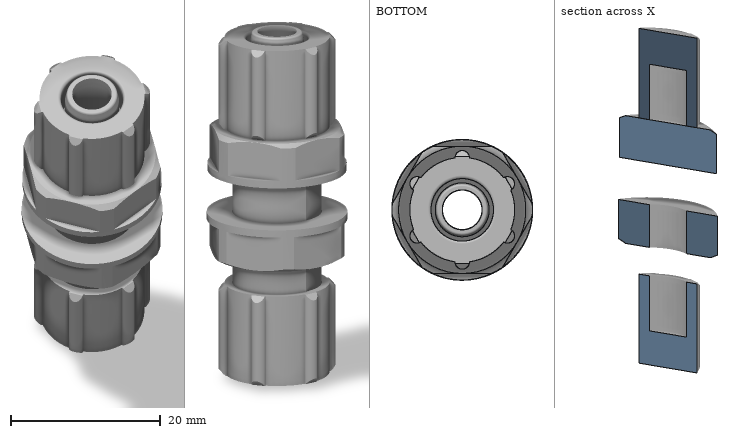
import cadquery as cq
import math

total_length = 48.0
end_protrusion = 0.7
cap_length = 12.45
hex_length = 6.0
flange_thickness = 1.0
grip_length = 5.8

upper_cap_top = total_length - end_protrusion
body_hex_top = upper_cap_top - cap_length
body_hex_bottom = body_hex_top - hex_length
lock_nut_top = body_hex_bottom - grip_length

across_flats = 17.0
body_hex_diameter = 18.6
lock_nut_diameter = 18.8
hex_chamfer_angle = 30.0

thread_diameter = 12.0
thread_flat_width = 10.5
bore_diameter = 5.3
barb_tip_diameter = 6.8
barb_diameter = 7.2
barb_tip_rounding = 0.3
barb_length = 1.3

cap_diameter = 14.0
cap_mouth_diameter = 8.35
cap_mouth_rounding = 0.4
cap_mouth_depth = 4.8
rib_count = 6
rib_radius = 0.95
rib_center_radius = 6.95
rib_chamfer = 0.75

thread_end_depth = end_protrusion + cap_mouth_depth


def flanged_hexagon(diameter):
    """Hexagon standing on a round flange at Z = 0, chamfered at its far end."""
    radius = diameter / 2
    face_radius = across_flats / 2
    chamfer_height = (radius - face_radius) * math.tan(math.radians(hex_chamfer_angle))
    turned_blank = (
        cq.Workplane("XZ")
        .polyline([
            (0, 0),
            (radius, 0),
            (radius, hex_length - chamfer_height),
            (face_radius, hex_length),
            (0, hex_length),
        ])
        .close()
        .revolve(360, (0, 0), (0, 1))
    )
    hexagon = (
        cq.Workplane("XY")
        .polygon(6, across_flats, circumscribed=True)
        .extrude(hex_length)
        .rotate((0, 0, 0), (0, 0, 1), 90)
    )
    flange = cq.Workplane("XY").circle(diameter).extrude(flange_thickness)
    return turned_blank.intersect(hexagon.union(flange))


def flatted_thread():
    """Threaded barrel with two opposite flats, reaching into both cap nuts."""
    length = total_length - 2 * thread_end_depth
    barrel = cq.Workplane("XY").circle(thread_diameter / 2).extrude(length)
    flats = cq.Workplane("XY").rect(thread_flat_width, 2 * thread_diameter).extrude(length)
    return barrel.intersect(flats).translate((0, 0, thread_end_depth))


def hose_barb():
    """Barb with its rounded tip at the top end, rooted in the end of the thread."""
    tip_radius = barb_tip_diameter / 2
    barb_radius = barb_diameter / 2
    rounding_shift = barb_tip_rounding * math.sqrt(0.5)
    arc_radius_at_middle = tip_radius - barb_tip_rounding + rounding_shift
    arc_height_at_middle = total_length - barb_tip_rounding + rounding_shift
    return (
        cq.Workplane("XZ")
        .moveTo(0, total_length)
        .lineTo(tip_radius - barb_tip_rounding, total_length)
        .threePointArc(
            (arc_radius_at_middle, arc_height_at_middle),
            (tip_radius, total_length - barb_tip_rounding),
        )
        .lineTo(barb_radius, total_length - barb_length)
        .lineTo(barb_radius, total_length - thread_end_depth)
        .lineTo(0, total_length - thread_end_depth)
        .close()
        .revolve(360, (0, 0), (0, 1))
    )


def flipped(part):
    """The part turned end for end about the middle of the fitting."""
    return part.rotate((0, 0, total_length / 2), (1, 0, total_length / 2), 180)


def connector_body():
    """Through-bored body: fixed hexagon, flatted thread and a barb at each end."""
    barb = hose_barb()
    hexagon = flanged_hexagon(body_hex_diameter).translate((0, 0, body_hex_bottom))
    bore = cq.Workplane("XY").circle(bore_diameter / 2).extrude(total_length)
    return flatted_thread().union(hexagon).union(barb).union(flipped(barb)).cut(bore)


def lock_nut():
    """Loose nut below the body hexagon, its flange facing up."""
    nut = flanged_hexagon(lock_nut_diameter)
    hole = cq.Workplane("XY").circle(thread_diameter / 2).extrude(hex_length)
    return nut.cut(hole).rotate((0, 0, 0), (1, 0, 0), 180).translate((0, 0, lock_nut_top))


def cap_rib():
    """One grip rib on the +Y side, bevelled flat at both ends."""
    outer_radius = rib_center_radius + rib_radius
    bevel_radius = outer_radius - rib_chamfer
    rod = cq.Workplane("XY").center(0, rib_center_radius).circle(rib_radius).extrude(cap_length)
    bevelled_slab = (
        cq.Workplane("YZ")
        .polyline([
            (0, 0),
            (bevel_radius, 0),
            (outer_radius, rib_chamfer),
            (outer_radius, cap_length - rib_chamfer),
            (bevel_radius, cap_length),
            (0, cap_length),
        ])
        .close()
        .extrude(rib_radius, both=True)
    )
    return rod.intersect(bevelled_slab)


def cap_nut():
    """Ribbed cap nut with its rounded mouth at the top, in its upper position."""
    cap = (
        cq.Workplane("XY")
        .circle(cap_diameter / 2)
        .circle(cap_mouth_diameter / 2)
        .extrude(cap_length)
    )
    mouth_edge = cq.selectors.RadiusNthSelector(0)
    cap = cap.faces(">Z").edges(mouth_edge).fillet(cap_mouth_rounding)
    rib = cap_rib()
    for index in range(rib_count):
        cap = cap.union(rib.rotate((0, 0, 0), (0, 0, 1), index * 360 / rib_count))
    thread_depth = cap_length - cap_mouth_depth
    thread_bore = cq.Workplane("XY").circle(thread_diameter / 2).extrude(thread_depth)
    cap = cap.cut(thread_bore)
    return cap.translate((0, 0, upper_cap_top - cap_length))


body = connector_body()
nut = lock_nut()
upper_cap = cap_nut()
cap_nuts = [upper_cap, flipped(upper_cap)]

result = cq.Compound.makeCompound([
    body.val(),
    nut.val(),
    *[cap.val() for cap in cap_nuts],
])